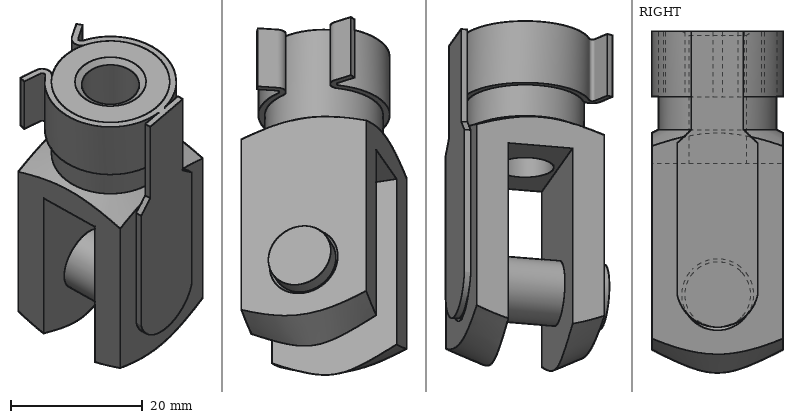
import cadquery as cq
import math

total_height = 52.0
fork_width = 19.95
neck_radius = 9.0
neck_bottom = 37.0
top_cone_slope = 0.49
bottom_cone_angle = 30.0
slot_width = 10.05
slot_top = 31.9
bore_radius = 4.35
bore_chamfer = 1.05
bore_chamfer_depth = 0.6

pin_radius = 5.0
pin_height = 11.95
pin_left_end = -12.0
pin_hole_chamfer = 0.45

clip_thickness = 1.0
collar_bottom = 42.0
collar_inner_radius = neck_radius
collar_outer_radius = 10.01
bend_inner_radius = 0.45
ear_length = 3.0
back_ear_position = 154.1
back_ear_direction = 116.0
front_ear_position = 148.6
front_ear_direction = 106.0
strap_top_half_width = 3.95
strap_half_width = 6.15
strap_shoulder_top = neck_bottom
strap_shoulder_bottom = 34.95

fork_half = fork_width / 2
corner_radius = fork_half * math.sqrt(2)
collar_height = total_height - collar_bottom


def polar(radius, angle):
    """Point in the XY plane at a radius and an angle in degrees."""
    return cq.Vector(radius * math.cos(math.radians(angle)), radius * math.sin(math.radians(angle)))


def make_fork():
    slot_half = slot_width / 2
    bottom_cone_rise = (corner_radius - slot_half) * math.tan(math.radians(bottom_cone_angle))
    top_cone_drop = (corner_radius - neck_radius) * top_cone_slope
    envelope = (
        cq.Workplane("XZ")
        .polyline([
            (0, 0),
            (slot_half, 0),
            (corner_radius, bottom_cone_rise),
            (corner_radius, neck_bottom - top_cone_drop),
            (neck_radius, neck_bottom),
            (0, neck_bottom),
        ])
        .close()
        .revolve(360, (0, 0, 0), (0, 1, 0))
    )
    body = cq.Workplane("XY").rect(fork_width, fork_width).extrude(neck_bottom).intersect(envelope)
    neck = cq.Workplane("XY").workplane(offset=neck_bottom).circle(neck_radius).extrude(
        total_height - neck_bottom
    )
    slot = cq.Workplane("XY").rect(slot_width, fork_width).extrude(slot_top)

    bore = (
        cq.Workplane("XZ")
        .polyline([
            (0, slot_top),
            (bore_radius, slot_top),
            (bore_radius, total_height - bore_chamfer_depth),
            (bore_radius + bore_chamfer, total_height),
            (0, total_height),
        ])
        .close()
        .revolve(360, (0, 0, 0), (0, 1, 0))
    )

    chamfer_start = fork_half - pin_hole_chamfer
    chamfer_radius = pin_radius + pin_hole_chamfer
    pin_hole = (
        cq.Workplane("XY")
        .polyline([
            (-fork_half, 0),
            (-fork_half, chamfer_radius),
            (-chamfer_start, pin_radius),
            (chamfer_start, pin_radius),
            (fork_half, chamfer_radius),
            (fork_half, 0),
        ])
        .close()
        .revolve(360, (0, 0, 0), (1, 0, 0))
        .translate((0, 0, pin_height))
    )
    return body.union(neck).cut(slot).cut(bore).cut(pin_hole)


def make_pin():
    return (
        cq.Workplane("YZ", origin=(pin_left_end, 0, pin_height))
        .circle(pin_radius)
        .extrude(fork_half - pin_left_end)
    )


def make_ear(position, direction):
    """Ear on the +Y side: a reverse bend off the collar, then a straight tab."""
    bend_outer_radius = bend_inner_radius + collar_outer_radius - collar_inner_radius
    center = polar(collar_outer_radius + bend_inner_radius, position)
    bend_start = position + 180
    bend_end = direction + 90
    bend_middle = (bend_start + bend_end) / 2
    tab = polar(ear_length, direction)

    def bend_point(radius, angle):
        return (center + polar(radius, angle)).toTuple()[:2]

    def tab_tip(radius):
        return (center + polar(radius, bend_end) + tab).toTuple()[:2]

    return (
        cq.Workplane("XY", origin=(0, 0, collar_bottom))
        .moveTo(*bend_point(bend_outer_radius, bend_start))
        .threePointArc(bend_point(bend_outer_radius, bend_middle), bend_point(bend_outer_radius, bend_end))
        .lineTo(*tab_tip(bend_outer_radius))
        .lineTo(*tab_tip(bend_inner_radius))
        .lineTo(*bend_point(bend_inner_radius, bend_end))
        .threePointArc(bend_point(bend_inner_radius, bend_middle), bend_point(bend_inner_radius, bend_start))
        .close()
        .extrude(collar_height)
    )


def make_collar():
    def rim_point(radius, angle):
        return polar(radius, angle).toTuple()[:2]

    return (
        cq.Workplane("XY", origin=(0, 0, collar_bottom))
        .moveTo(*rim_point(collar_outer_radius, back_ear_position))
        .threePointArc((collar_outer_radius, 0), rim_point(collar_outer_radius, -front_ear_position))
        .lineTo(*rim_point(collar_inner_radius, -front_ear_position))
        .threePointArc((collar_inner_radius, 0), rim_point(collar_inner_radius, back_ear_position))
        .close()
        .extrude(collar_height)
    )


def make_strap():
    return (
        cq.Workplane("YZ", origin=(fork_half, 0, 0))
        .moveTo(-strap_top_half_width, total_height)
        .lineTo(-strap_top_half_width, strap_shoulder_top)
        .lineTo(-strap_half_width, strap_shoulder_bottom)
        .lineTo(-strap_half_width, pin_height)
        .threePointArc((0, pin_height - pin_radius), (strap_half_width, pin_height))
        .lineTo(strap_half_width, strap_shoulder_bottom)
        .lineTo(strap_top_half_width, strap_shoulder_top)
        .lineTo(strap_top_half_width, total_height)
        .close()
        .extrude(clip_thickness)
    )


def make_clip():
    back_ear = make_ear(back_ear_position, back_ear_direction)
    front_ear = make_ear(front_ear_position, front_ear_direction).mirror("XZ")
    return make_collar().union(back_ear).union(front_ear).union(make_strap())


fork = make_fork()
pin = make_pin()
clip = make_clip()

result = cq.Compound.makeCompound([fork.solids().val(), pin.val(), clip.solids().val()])